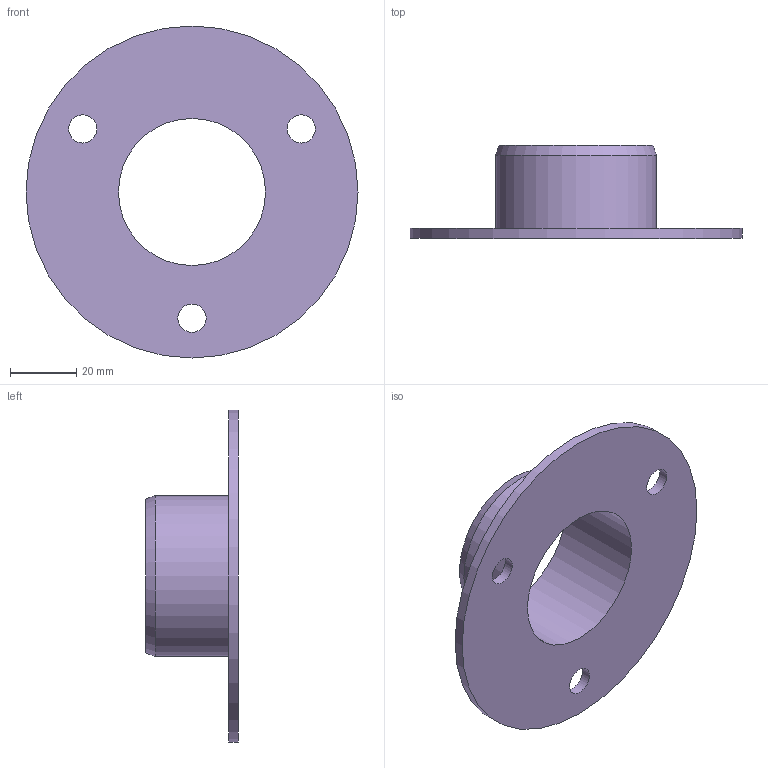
import cadquery as cq
import math

flange_diameter = 100.0
flange_thickness = 3.0

hub_diameter = 48.5
bore_diameter = 44.3
overall_length = 28.0

taper_length = 3.0
taper_angle = 20.0

hole_count = 3
hole_diameter = 8.5
hole_circle_radius = 38.0
first_hole_angle = -90.0


def make_body():
    """Flange, hub and bore as one profile revolved about the Y axis."""
    flange_radius = flange_diameter / 2
    hub_radius = hub_diameter / 2
    bore_radius = bore_diameter / 2
    tip_radius = hub_radius - taper_length * math.tan(math.radians(taper_angle))
    profile = [
        (bore_radius, 0),
        (flange_radius, 0),
        (flange_radius, flange_thickness),
        (hub_radius, flange_thickness),
        (hub_radius, overall_length - taper_length),
        (tip_radius, overall_length),
        (bore_radius, overall_length),
    ]
    return cq.Workplane("XY").polyline(profile).close().revolve(360, (0, 0, 0), (0, 1, 0))


def make_mounting_holes():
    """Cylinders that pass through the flange thickness."""
    return (
        cq.Workplane("XZ")
        .polarArray(hole_circle_radius, first_hole_angle, 360, hole_count)
        .circle(hole_diameter / 2)
        .extrude(-flange_thickness)
    )


result = make_body().cut(make_mounting_holes())